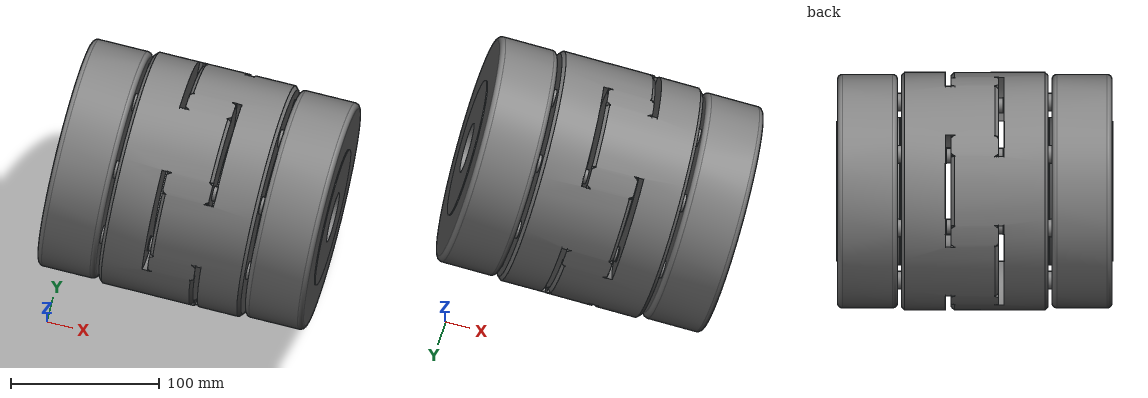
import cadquery as cq
import math

length = 186.0
bore_dia = 34.0

hub_dia = 157.0
hub_inner_x = 51.9
hub_edge_radius = 3.3
face_boss_dia = 94.0
face_boss_height = 0.7

collar_dia = 99.3
groove_floor_dia = 99.0
hub_collar_x = 50.5
sleeve_collar_x = 49.8
spigot_end_x = 37.2

sleeve_dia = 160.0
sleeve_half_length = 49.3
sleeve_bore_dia = 94.9
sleeve_chamfer = 2.2

slot_inner_x = 16.0
slot_outer_x = 19.7
lobe_dia = 77.0
lobe_center_radius = 62.3
slots_per_ring = 4
slot_pitch = 360 / slots_per_ring

relief_chamfer = 2.2
relief_half_angle = 17.1
slot_half_angle = 28.2
notch_depth = 2.8
notch_width = 1.9
notch_floor_radius = 76.3

pin_count = 8
pin_pitch = 360 / pin_count
pin_angles = [pin_pitch * (i + 0.5) for i in range(pin_count)]
hub_pin_dia = 12.0
hub_pin_circle_radius = 64.7
hub_pin_embed = 3.7
slot_pin_dia = 10.0
slot_pin_collar_dia = 10.5
slot_pin_collar_height = 0.7
slot_pin_circle_radius = 62.3
slot_pin_embed = 1.9

hub_outer_x = length / 2 - face_boss_height
sleeve_radius = sleeve_dia / 2
clearance = 1.9


def cylinder_x(diameter, x_start, x_end, radius=0.0, angle=0.0):
    """Cylinder along +X, with its axis at a polar position measured from +Y toward +Z."""
    y = radius * math.cos(math.radians(angle))
    z = radius * math.sin(math.radians(angle))
    plane = cq.Workplane("YZ", origin=(x_start, y, z))
    return plane.circle(diameter / 2).extrude(x_end - x_start)


def pin_ring(diameter, circle_radius, x_start, x_end, angles):
    """Parallel pins at the given angles of one pitch circle."""
    pins = cq.Workplane()
    for angle in angles:
        pins = pins.add(cylinder_x(diameter, x_start, x_end, circle_radius, angle))
    return pins.combine()


def hub():
    """The +X hub with its end boss, collar, spigot, pins and through bore."""
    body = cylinder_x(hub_dia, hub_inner_x, hub_outer_x).edges().fillet(hub_edge_radius)
    boss = cylinder_x(face_boss_dia, hub_outer_x, length / 2)
    collar = cylinder_x(collar_dia, hub_collar_x, hub_inner_x)
    groove_floor = cylinder_x(groove_floor_dia, sleeve_collar_x, hub_collar_x)
    spigot = cylinder_x(sleeve_bore_dia, spigot_end_x, hub_inner_x)
    pins = pin_ring(
        hub_pin_dia,
        hub_pin_circle_radius,
        sleeve_half_length - hub_pin_embed,
        hub_inner_x + hub_pin_embed,
        pin_angles,
    )
    solid = body.union(boss).union(collar).union(groove_floor).union(spigot).union(pins)
    return solid.cut(cylinder_x(bore_dia, 0, length / 2))


def relief_chamfer_cutter():
    """Conical edge break on the middle section, over the central part of a slot."""
    profile = [
        (slot_inner_x - relief_chamfer - clearance, sleeve_radius + clearance),
        (slot_inner_x, sleeve_radius + clearance),
        (slot_inner_x, sleeve_radius - relief_chamfer),
    ]
    sector = cq.Workplane("XY").polyline(profile).close()
    sector = sector.revolve(2 * relief_half_angle, (0, 0, 0), (1, 0, 0))
    return sector.rotate((0, 0, 0), (1, 0, 0), -relief_half_angle)


def notch_cutter(angle, direction):
    """Triangular notch in the sleeve wall, widening from its straight side toward `direction`."""
    triangle = [
        (slot_inner_x, 0),
        (slot_inner_x - notch_depth, 0),
        (slot_inner_x, -direction * notch_width),
    ]
    plane = cq.Plane(origin=(0, notch_floor_radius, 0), xDir=(1, 0, 0), normal=(0, 1, 0))
    notch = cq.Workplane(plane).polyline(triangle).close()
    notch = notch.extrude(sleeve_radius + clearance - notch_floor_radius)
    return notch.rotate((0, 0, 0), (1, 0, 0), angle)


def slot_cutter():
    """One slot of the +X ring, centred on +Y."""
    cutter = cylinder_x(lobe_dia, slot_inner_x, slot_outer_x, lobe_center_radius)
    cutter = cutter.union(relief_chamfer_cutter())
    for side in (-1, 1):
        cutter = cutter.union(notch_cutter(side * relief_half_angle, side))
        cutter = cutter.union(notch_cutter(side * slot_half_angle, -side))
    return cutter


def slot_pins(angles):
    """Pins bridging the +X slots, each with a low collar on the outer wall of its slot."""
    pins = pin_ring(
        slot_pin_dia,
        slot_pin_circle_radius,
        slot_inner_x - slot_pin_embed,
        slot_outer_x + slot_pin_embed,
        angles,
    )
    collars = pin_ring(
        slot_pin_collar_dia,
        slot_pin_circle_radius,
        slot_outer_x - slot_pin_collar_height,
        slot_outer_x + slot_pin_embed,
        angles,
    )
    return pins.union(collars)


def sleeve():
    """Slotted tube; the -X slots sit half a pitch from the +X slots."""
    body = cylinder_x(sleeve_dia, -sleeve_half_length, sleeve_half_length)
    body = body.edges().chamfer(sleeve_chamfer)
    body = body.union(cylinder_x(collar_dia, -sleeve_collar_x, sleeve_collar_x))
    body = body.cut(cylinder_x(sleeve_bore_dia, -sleeve_collar_x, sleeve_collar_x))
    right_slot = slot_cutter()
    left_slot = right_slot.mirror("YZ").rotate((0, 0, 0), (1, 0, 0), slot_pitch / 2)
    for i in range(slots_per_ring):
        for slot in (right_slot, left_slot):
            body = body.cut(slot.rotate((0, 0, 0), (1, 0, 0), i * slot_pitch))
    body = body.union(slot_pins(pin_angles[0::2]))
    return body.union(slot_pins(pin_angles[1::2]).mirror("YZ"))


right_hub = hub()
result = sleeve().union(right_hub).union(right_hub.mirror("YZ"))